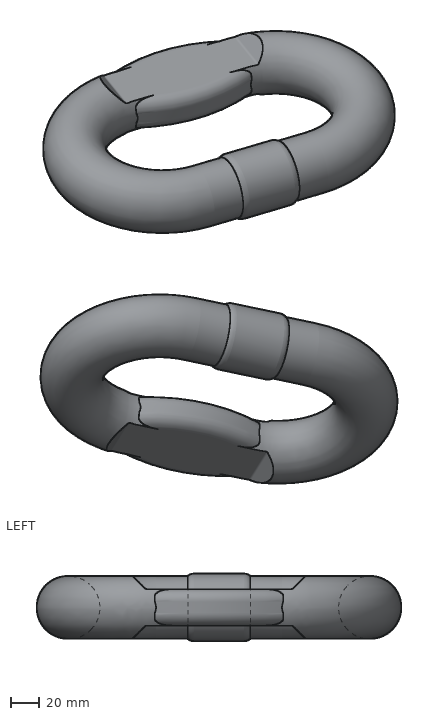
import cadquery as cq

overall_length = 259.5
bar_diameter = 45.0
straight_length = 89.8
bar_radius = bar_diameter / 2
half_straight = straight_length / 2
bend_radius = (overall_length - straight_length - bar_diameter) / 2

collar_diameter = 48.3
collar_length = 44.6
collar_rounding = 6.5
collar_radius = collar_diameter / 2

grip_thickness = 26.0
grip_half_width = 31.7
grip_end_half_width = 22.0
grip_half_length = 45.7
grip_edge_radius = 8.8

recess_half_length = 52.2
recess_corner_radius = 2.5


def make_link():
    """Round bar swept around a stadium-shaped centre line."""
    path = (
        cq.Workplane("XY")
        .moveTo(bend_radius, 0)
        .lineTo(bend_radius, half_straight)
        .threePointArc((0, half_straight + bend_radius), (-bend_radius, half_straight))
        .lineTo(-bend_radius, -half_straight)
        .threePointArc((0, -half_straight - bend_radius), (bend_radius, -half_straight))
        .close()
    )
    return cq.Workplane("XZ", origin=(bend_radius, 0, 0)).circle(bar_radius).sweep(path)


def make_collar():
    """Collar whose rounded ends run down onto the bar."""
    rounding_center_radius = collar_radius - collar_rounding
    rounding_reach = (collar_rounding**2 - (bar_radius - rounding_center_radius) ** 2) ** 0.5
    cylinder_length = collar_length + 2 * (collar_rounding - rounding_reach)
    return (
        cq.Workplane("XZ", origin=(bend_radius, 0, 0))
        .circle(collar_radius)
        .extrude(cylinder_length / 2, both=True)
        .edges()
        .fillet(collar_rounding)
    )


def make_recess():
    """Cutter for the upper flat; its ends slope outward at 45 degrees."""
    depth = bar_radius
    floor = grip_thickness / 2
    return (
        cq.Workplane("YZ", origin=(-bend_radius, 0, 0))
        .moveTo(-recess_half_length, floor)
        .lineTo(recess_half_length, floor)
        .lineTo(recess_half_length + depth, floor + depth)
        .lineTo(-recess_half_length - depth, floor + depth)
        .close()
        .extrude(bar_radius, both=True)
        .edges("<Z and |X")
        .fillet(recess_corner_radius)
    )


def make_grip():
    """Plate with two bowed sides and rounded long edges."""
    plate = (
        cq.Workplane("XY", origin=(-bend_radius, 0, 0))
        .moveTo(-grip_end_half_width, -grip_half_length)
        .lineTo(grip_end_half_width, -grip_half_length)
        .threePointArc((grip_half_width, 0), (grip_end_half_width, grip_half_length))
        .lineTo(-grip_end_half_width, grip_half_length)
        .threePointArc((-grip_half_width, 0), (-grip_end_half_width, -grip_half_length))
        .close()
        .extrude(grip_thickness / 2, both=True)
    )
    return plate.edges("%CIRCLE").fillet(grip_edge_radius)


recess = make_recess()
result = (
    make_link()
    .union(make_collar())
    .cut(recess)
    .cut(recess.mirror("XY"))
    .union(make_grip())
)